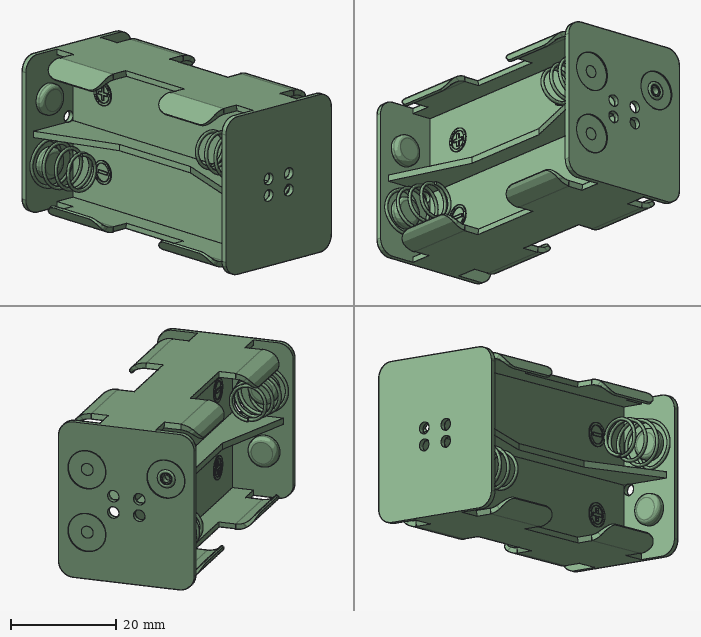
import cadquery as cq
import math


LENGTH = 57.0
WIDTH = 27.4
HEIGHT = 31.35
WALL = 1.1
END_CORNER_RADIUS = 3.0
MID_WALL_THICKNESS = 2.85
SHELF_THICKNESS = 1.25
STRIP_WIDTH = 11.35
SHELF_END_WIDTH = 23.5
SHELF_MID_LENGTH = 19.85
INNER_LENGTH = LENGTH - 2 * WALL

TAB_CENTER_X = 15.45
TAB_LENGTH = 15.05
ROOT_TAPER = 0.2
TAB_BEND_Y = 9.05
TAB_RADIUS = 4.15
TAB_OUTER_ANGLE = math.radians(72)
TAB_INNER_ANGLE = math.radians(60)
TAB_CORNER_RADIUS = 2.75

CELL_Y = 8.0
CELL_Z = 6.3
WIRE_HOLE_RADIUS = 1.15
WIRE_HOLE_Y = 2.6
WIRE_HOLE_Z = 1.65

BUTTON_RADIUS = 3.1
BUTTON_HEIGHT = 1.65
BUTTON_ROUNDING = 0.9
SHANK_RADIUS = 1.2
RECESS_RADIUS = 3.8
RECESS_DEPTH = 0.3
SHANK_LENGTH = WALL - RECESS_DEPTH

EYELET_OUTER_RADIUS = 1.8
EYELET_INNER_RADIUS = 1.0
EYELET_BORE_RADIUS = 0.75
EYELET_BORE_DEPTH = 1.7

WIRE_RADIUS = 0.315
WALL_GAP = 0.05
COIL_BASE_RADIUS = 4.6
COIL_TIP_RADIUS = 3.5
COIL_PITCH = 3.0
COIL_TURNS = 3
TIP_TURN = 0.75
BASE_TURN = 0.25
LEAD_TURN = 0.25
LEAD_END_RADIUS = 2.4
POINTS_PER_TURN = 16

MARK_X = 19.05
MARK_Z = 7.8
MARK_OUTER_RADIUS = 2.35
MARK_INNER_RADIUS = 1.8
MARK_BAR_LENGTH = 2.5
MARK_BAR_WIDTH = 0.55
MARK_RELIEF = 0.2


def for_each_cell(base):
    """The base shape and its copies under half turns about the X, Y and Z axes."""
    origin = (0, 0, 0)
    axes = [(1, 0, 0), (0, 1, 0), (0, 0, 1)]
    return [base] + [base.rotate(origin, axis, 180) for axis in axes]


def end_wall():
    """End wall on the -X side."""
    wall = cq.Workplane("YZ").rect(WIDTH, HEIGHT).extrude(WALL).edges("|X").fillet(END_CORNER_RADIUS)
    return wall.translate((-LENGTH / 2, 0, 0))


def tab_lip():
    """Curved lip at the +Y end of a tab root, thinning toward its rounded free edge."""
    outer_axis_z = HEIGHT / 2 - TAB_RADIUS
    inner_axis_z = outer_axis_z - WALL

    def on_arc(axis_z, angle):
        return TAB_BEND_Y + TAB_RADIUS * math.sin(angle), axis_z + TAB_RADIUS * math.cos(angle)

    outer_end = on_arc(outer_axis_z, TAB_OUTER_ANGLE)
    inner_end = on_arc(inner_axis_z, TAB_INNER_ANGLE)
    lip = (
        cq.Workplane("YZ")
        .moveTo(*on_arc(outer_axis_z, 0))
        .threePointArc(on_arc(outer_axis_z, TAB_OUTER_ANGLE / 2), outer_end)
        .lineTo(*inner_end)
        .threePointArc(on_arc(inner_axis_z, TAB_INNER_ANGLE / 2), on_arc(inner_axis_z, 0))
        .close()
        .extrude(TAB_LENGTH / 2, both=True)
    )
    free_edge = cq.selectors.BoxSelector(
        (-TAB_LENGTH, inner_end[0] - WALL / 2, inner_end[1] - WALL / 2),
        (TAB_LENGTH, outer_end[0] + WALL / 2, outer_end[1] + WALL / 2),
    )
    return lip.edges(free_edge).edges("not |X").fillet(TAB_CORNER_RADIUS)


def tab_root():
    """Flat root across the top cover, with slightly sloped ends."""
    half_inner = TAB_LENGTH / 2
    half_outer = half_inner - ROOT_TAPER
    outer_z = HEIGHT / 2
    inner_z = outer_z - WALL
    outline = [(-half_inner, inner_z), (half_inner, inner_z), (half_outer, outer_z), (-half_outer, outer_z)]
    return cq.Workplane("XZ").polyline(outline).close().extrude(TAB_BEND_Y, both=True)


def cover():
    """Top cover: a strip between the end walls, crossed by two roots with a lip at each end."""
    plate = cq.Workplane("XY").box(INNER_LENGTH, STRIP_WIDTH, WALL).translate((0, 0, (HEIGHT - WALL) / 2))
    lip = tab_lip()
    tab_pair = tab_root().union(lip).union(lip.mirror("XZ"))
    for x in (-TAB_CENTER_X, TAB_CENTER_X):
        plate = plate.union(tab_pair.translate((x, 0, 0)))
    return plate


def shelf():
    half_length = INNER_LENGTH / 2
    half_middle = SHELF_MID_LENGTH / 2
    half_end_width = SHELF_END_WIDTH / 2
    half_width = STRIP_WIDTH / 2
    outline = [
        (-half_length, half_end_width),
        (-half_middle, half_width),
        (half_middle, half_width),
        (half_length, half_end_width),
        (half_length, -half_end_width),
        (half_middle, -half_width),
        (-half_middle, -half_width),
        (-half_length, -half_end_width),
    ]
    return cq.Workplane("XY").polyline(outline).close().extrude(SHELF_THICKNESS / 2, both=True)


def wire_holes():
    """Four cutters through the -X end wall."""
    corners = cq.Workplane("YZ", origin=(-LENGTH / 2, 0, 0)).rect(
        2 * WIRE_HOLE_Y, 2 * WIRE_HOLE_Z, forConstruction=True
    )
    return corners.vertices().circle(WIRE_HOLE_RADIUS).extrude(WALL)


def shank_holes():
    """Four cutters for the contact shanks in the -X end wall, blind from the inside."""
    corners = cq.Workplane("YZ", origin=(-INNER_LENGTH / 2, 0, 0)).rect(
        2 * CELL_Y, 2 * CELL_Z, forConstruction=True
    )
    return corners.vertices().circle(SHANK_RADIUS).extrude(-SHANK_LENGTH)


def shank_recesses():
    """Three cutters in the outside of the -X end wall; the low front contact has none."""
    centers = [(-CELL_Y, CELL_Z), (CELL_Y, CELL_Z), (CELL_Y, -CELL_Z)]
    outside = cq.Workplane("YZ", origin=(-LENGTH / 2, 0, 0))
    return outside.pushPoints(centers).circle(RECESS_RADIUS).extrude(RECESS_DEPTH)


def polarity_mark(z, bar_sizes):
    """Raised ring with bars inside it, on the front of the mid wall near the -X end."""
    face = cq.Workplane("XZ", origin=(-MARK_X, -MID_WALL_THICKNESS / 2, z))
    mark = face.circle(MARK_OUTER_RADIUS).circle(MARK_INNER_RADIUS).extrude(MARK_RELIEF)
    for length, height in bar_sizes:
        mark = mark.union(face.rect(length, height).extrude(MARK_RELIEF))
    return mark


def build_housing():
    left_wall = end_wall().cut(wire_holes()).cut(shank_holes())
    right_wall = left_wall.mirror("YZ")
    body = left_wall.cut(shank_recesses()).union(right_wall)
    top_cover = cover()
    body = body.union(top_cover).union(top_cover.mirror("XY"))
    body = body.union(cq.Workplane("XY").box(INNER_LENGTH, MID_WALL_THICKNESS, HEIGHT - WALL))
    body = body.union(shelf())
    level_bar = (MARK_BAR_LENGTH, MARK_BAR_WIDTH)
    upright_bar = (MARK_BAR_WIDTH, MARK_BAR_LENGTH)
    plus = polarity_mark(MARK_Z, [level_bar, upright_bar])
    minus = polarity_mark(-MARK_Z, [level_bar])
    for mark in for_each_cell(plus) + for_each_cell(minus):
        body = body.union(mark)
    return body


def contact_button():
    """Round button with a shank that fills its hole in the end wall."""
    head = cq.Workplane("YZ").circle(BUTTON_RADIUS).extrude(BUTTON_HEIGHT)
    head = head.faces(">X").edges().fillet(BUTTON_ROUNDING)
    return head.union(cq.Workplane("YZ").circle(SHANK_RADIUS).extrude(-SHANK_LENGTH))


def terminal_button():
    """Button whose shank is rolled over into a bored eyelet inside the recess."""
    seat_x = -SHANK_LENGTH
    crown_x = seat_x - RECESS_DEPTH
    crown_radius = (EYELET_OUTER_RADIUS + EYELET_INNER_RADIUS) / 2
    eyelet = (
        cq.Workplane("XY")
        .moveTo(seat_x, EYELET_INNER_RADIUS)
        .threePointArc((crown_x, crown_radius), (seat_x, EYELET_OUTER_RADIUS))
        .close()
        .revolve(360, (0, 0, 0), (1, 0, 0))
    )
    bore = cq.Workplane("YZ", origin=(crown_x, 0, 0)).circle(EYELET_BORE_RADIUS).extrude(EYELET_BORE_DEPTH)
    return contact_button().union(eyelet).cut(bore)


def coil_point(turn):
    """Point on the wire centre line; the coil rises from turn 0 to COIL_TURNS and is flat outside that."""
    rise = min(max(turn / COIL_TURNS, 0), 1)
    lead = max(-turn - BASE_TURN, 0) / LEAD_TURN
    radius = COIL_BASE_RADIUS + rise * (COIL_TIP_RADIUS - COIL_BASE_RADIUS)
    radius += lead * (LEAD_END_RADIUS - COIL_BASE_RADIUS)
    angle = math.pi + 2 * math.pi * turn
    x = WALL_GAP + WIRE_RADIUS + rise * COIL_PITCH * COIL_TURNS
    return cq.Vector(x, radius * math.cos(angle), radius * math.sin(angle))


def spring_coil():
    """Tapered right-handed coil whose wire spirals into the button at the end wall."""
    first_turn = -BASE_TURN - LEAD_TURN
    steps = round((COIL_TURNS + TIP_TURN - first_turn) * POINTS_PER_TURN)
    points = [coil_point(first_turn + i / POINTS_PER_TURN) for i in range(steps + 1)]
    path = cq.Edge.makeSpline(points)
    section = cq.Plane(points[0], (1, 0, 0), path.tangentAt(0))
    return cq.Workplane(section).circle(WIRE_RADIUS).sweep(cq.Workplane(path))


def place_contact(contact, z):
    return contact.translate((-INNER_LENGTH / 2, -CELL_Y, z))


housing = build_housing()

terminal_contact = place_contact(terminal_button(), CELL_Z)
plain_contacts = for_each_cell(place_contact(contact_button(), CELL_Z))[1:]
button_contacts = [terminal_contact] + plain_contacts

spring_contact = contact_button().union(spring_coil())
spring_contacts = for_each_cell(place_contact(spring_contact, -CELL_Z))

result = cq.Compound.makeCompound([
    housing.solids().val(),
    *[contact.solids().val() for contact in button_contacts],
    *[contact.solids().val() for contact in spring_contacts],
])